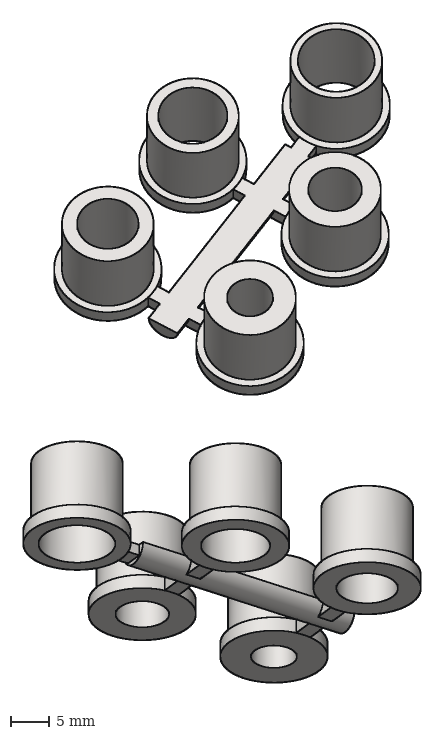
import cadquery as cq

FLANGE_DIAMETER = 14.0
FLANGE_HEIGHT = 2.0
BARREL_DIAMETER = 12.0
BARREL_HEIGHT = 10.0

COLUMN_OFFSET = 11.0
REAR_ROW_Y = 20.6
END_BUSHING_Y = 38.1
BUSHINGS = [
    (-COLUMN_OFFSET, 0, 8.0),
    (COLUMN_OFFSET, 0, 6.0),
    (-COLUMN_OFFSET, REAR_ROW_Y, 9.0),
    (COLUMN_OFFSET, REAR_ROW_Y, 7.0),
    (0, END_BUSHING_Y, 10.0),
]

RUNNER_RADIUS = 2.25
RUNNER_FRONT_Y = -3.85
RUNNER_REAR_Y = 29.2

SIDE_GATE_WIDTH = 2.2
END_GATE_WIDTH = 2.65
END_GATE_HEIGHT = 1.55


def make_bushing(x, y, bore_diameter):
    """Flanged sleeve standing on z = 0 with a through bore."""
    flange = cq.Workplane("XY").circle(FLANGE_DIAMETER / 2).extrude(FLANGE_HEIGHT)
    barrel = flange.faces(">Z").workplane().circle(BARREL_DIAMETER / 2).extrude(BARREL_HEIGHT)
    bushing = barrel.faces(">Z").workplane().hole(bore_diameter)
    return bushing.translate((x, y, 0))


def make_runner():
    """Half-round bar along Y with its round side down."""
    return (
        cq.Workplane("XZ", origin=(0, RUNNER_FRONT_Y, FLANGE_HEIGHT))
        .moveTo(-RUNNER_RADIUS, 0)
        .threePointArc((0, -RUNNER_RADIUS), (RUNNER_RADIUS, 0))
        .close()
        .extrude(RUNNER_FRONT_Y - RUNNER_REAR_Y)
    )


def make_side_gates(row_y):
    """Cross bar joining the two bushings of one row through the runner."""
    return (
        cq.Workplane("XY", origin=(0, row_y, 0))
        .rect(2 * COLUMN_OFFSET, SIDE_GATE_WIDTH)
        .extrude(FLANGE_HEIGHT)
    )


def make_end_gate():
    """Shallow bar from the rear of the runner to the end bushing."""
    length = END_BUSHING_Y - RUNNER_REAR_Y
    return (
        cq.Workplane("XY", origin=(0, RUNNER_REAR_Y + length / 2, FLANGE_HEIGHT))
        .rect(END_GATE_WIDTH, length)
        .extrude(-END_GATE_HEIGHT)
    )


def make_sprue():
    """Runner and gates as one body, with the gates trimmed at the flange rims."""
    sprue = make_runner().union(make_end_gate())
    for row_y in (0, REAR_ROW_Y):
        sprue = sprue.union(make_side_gates(row_y))
    for x, y, _ in BUSHINGS:
        flange_space = cq.Workplane("XY").center(x, y).circle(FLANGE_DIAMETER / 2).extrude(FLANGE_HEIGHT)
        sprue = sprue.cut(flange_space)
    return sprue


bushings = [make_bushing(x, y, bore_diameter) for x, y, bore_diameter in BUSHINGS]
sprue = make_sprue()

result = cq.Compound.makeCompound([sprue.val(), *[bushing.val() for bushing in bushings]])